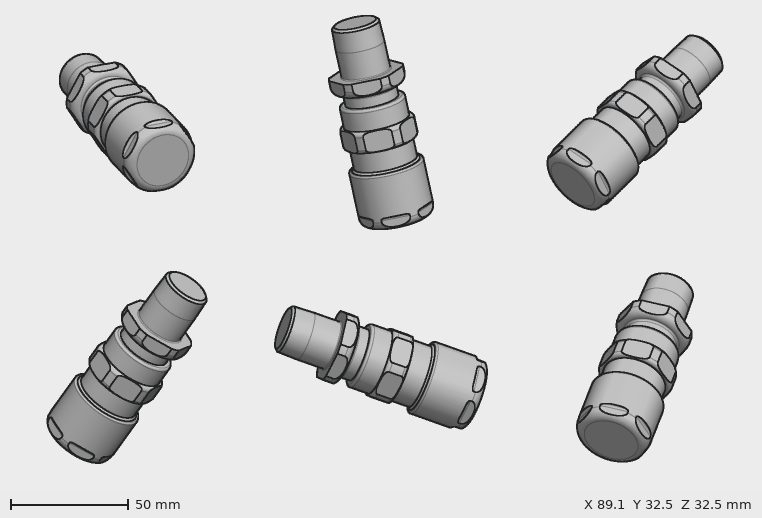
import cadquery as cq
import math

thread_end = 0.0
chamfer_end = 1.1
taper_end = 10.0
entry_hex_start = 22.4
entry_hex_end = 29.5
skirt_start = 34.9
body_hex_start = 44.4
body_hex_end = 54.1
cone_start = 63.05
nut_start = 64.0
nut_flat_start = 84.1
nut_end = 89.1

corner_diameter = 32.5
tip_diameter = 18.4
taper_diameter = 20.75
thread_diameter = 21.4
neck_diameter = 23.3
skirt_diameter = 28.6
spigot_diameter = 27.7
cone_diameter = 29.7

across_flats = 30.0
hex_sides = 6
thread_root_fillet = 0.45
entry_hex_fillet = 3.65
neck_fillet = 0.9
skirt_fillet = 1.2
body_hex_fillet = 1.9
nut_front_fillet = 0.8
nut_end_fillet = 4.3
flat_runout_radius = 1.1


def disc(start, end, diameter):
    """A plain cylinder on the X axis."""
    return cq.Workplane("YZ", origin=(start, 0, 0)).circle(diameter / 2).extrude(end - start)


def cone(start, end, start_diameter, end_diameter):
    """A cone frustum on the X axis."""
    profile = [(start, 0), (end, 0), (end, end_diameter / 2), (start, start_diameter / 2)]
    return cq.Workplane("XY").polyline(profile).close().revolve(360, (0, 0, 0), (1, 0, 0))


def hexagon(start, end):
    """A hexagonal prism on the X axis with flats facing +Z and -Z."""
    across_corners = across_flats / math.cos(math.pi / hex_sides)
    return cq.Workplane("YZ", origin=(start, 0, 0)).polygon(hex_sides, across_corners).extrude(end - start)


def concave_ring(face, reach, diameter):
    """A quarter-round ring between the end face at `face` and a smaller cylinder.

    `reach` is the rounding radius, negative when the cylinder lies on the -X side of the face.
    """
    radius = abs(reach)
    foot = diameter / 2
    bulge = radius * (1 - math.sqrt(0.5))
    middle = (face + math.copysign(bulge, reach), foot + bulge)
    return (
        cq.Workplane("XY")
        .moveTo(face, 0)
        .lineTo(face + reach, 0)
        .lineTo(face + reach, foot)
        .threePointArc(middle, (face, foot + radius))
        .close()
        .revolve(360, (0, 0, 0), (1, 0, 0))
    )


def make_entry_body():
    """Thread end with a chamfer and a taper, hexagon with a rounded back, and neck."""
    tip = cone(thread_end, chamfer_end, tip_diameter, taper_diameter)
    taper = cone(chamfer_end, taper_end, taper_diameter, thread_diameter)
    thread = disc(taper_end, entry_hex_start, thread_diameter)
    blank = disc(entry_hex_start, entry_hex_end, corner_diameter).faces(">X").edges().fillet(entry_hex_fillet)
    hex_part = blank.intersect(hexagon(entry_hex_start, entry_hex_end))
    neck = disc(entry_hex_end, skirt_start, neck_diameter)
    thread_root = concave_ring(entry_hex_start, -thread_root_fillet, thread_diameter)
    neck_root = concave_ring(entry_hex_end, neck_fillet, neck_diameter)
    return tip.union(taper).union(thread).union(hex_part).union(neck).union(thread_root).union(neck_root)


def make_main_body():
    """Round skirt, hexagon with both ends rounded, and spigot ending in a cone."""
    skirt = disc(skirt_start, body_hex_start, skirt_diameter).faces("<X").edges().fillet(skirt_fillet)
    blank = disc(body_hex_start, body_hex_end, corner_diameter).edges().fillet(body_hex_fillet)
    hex_part = blank.intersect(hexagon(body_hex_start, body_hex_end))
    spigot = disc(body_hex_end, cone_start, spigot_diameter)
    shoulder = cone(cone_start, nut_start, spigot_diameter, cone_diameter)
    return skirt.union(hex_part).union(spigot).union(shoulder)


def make_outer_nut():
    """Round nut with a large end rounding and six short wrench flats at the +X end."""
    nut = disc(nut_start, nut_end, corner_diameter)
    nut = nut.faces("<X").edges().fillet(nut_front_fillet)
    nut = nut.faces(">X").edges().fillet(nut_end_fillet)

    flat = across_flats / 2
    runout_top = flat + flat_runout_radius
    runout_start = nut_flat_start - flat_runout_radius
    bulge = flat_runout_radius * (1 - math.sqrt(0.5))
    flat_cutter = (
        cq.Workplane("XZ")
        .moveTo(nut_end, flat)
        .lineTo(nut_flat_start, flat)
        .threePointArc((runout_start + bulge, flat + bulge), (runout_start, runout_top))
        .lineTo(runout_start, corner_diameter)
        .lineTo(nut_end, corner_diameter)
        .close()
        .extrude(corner_diameter / 2, both=True)
    )
    for side in range(hex_sides):
        nut = nut.cut(flat_cutter.rotate((0, 0, 0), (1, 0, 0), side * 360 / hex_sides))
    return nut


entry_body = make_entry_body()
main_body = make_main_body()
outer_nut = make_outer_nut()

result = cq.Compound.makeCompound([entry_body.val(), main_body.val(), outer_nut.val()])